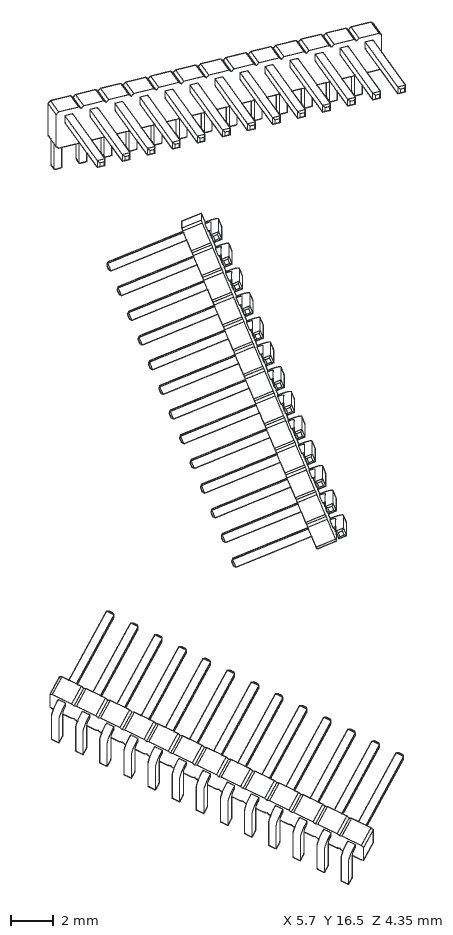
import cadquery as cq


row_length = 16.51
pin_count = 13
pitch = row_length / pin_count
housing_depth = 0.99
housing_height = 2.1
housing_chamfer = 0.125

pin_width = 0.4
overall_depth = 5.7
overall_height = 4.35
bend_offset = 0.7
pin_cover = 0.3
bend_inner_radius = 0.2
bend_outer_radius = bend_inner_radius + pin_width
tip_chamfer = 0.09

leg_outer_x = -bend_offset
leg_inner_x = leg_outer_x + pin_width
pin_end_x = leg_outer_x + overall_depth
pin_top_z = housing_height - pin_cover
pin_under_z = pin_top_z - pin_width
pin_end_z = housing_height - overall_height


def housing_segment(center_y):
    """One pitch of the housing, with its four edges along X chamfered."""
    block = cq.Workplane("XY").box(housing_depth, pitch, housing_height, centered=(False, True, False))
    return block.edges("|X").chamfer(housing_chamfer).translate((0, center_y, 0))


def bent_pin(center_y):
    """A square pin with a right-angle bend and both ends chamfered all round."""
    pin = (
        cq.Workplane("XZ", origin=(0, center_y, 0))
        .moveTo(leg_outer_x, pin_end_z)
        .lineTo(leg_outer_x, pin_top_z - bend_outer_radius)
        .radiusArc((leg_outer_x + bend_outer_radius, pin_top_z), bend_outer_radius)
        .lineTo(pin_end_x, pin_top_z)
        .lineTo(pin_end_x, pin_under_z)
        .lineTo(leg_inner_x + bend_inner_radius, pin_under_z)
        .radiusArc((leg_inner_x, pin_under_z - bend_inner_radius), -bend_inner_radius)
        .lineTo(leg_inner_x, pin_end_z)
        .close()
        .extrude(pin_width / 2, both=True)
    )
    pin = pin.faces(">X").edges().chamfer(tip_chamfer)
    return pin.faces("<Z").edges().chamfer(tip_chamfer)


pin_positions = [(i - (pin_count - 1) / 2) * pitch for i in range(pin_count)]

header = cq.Workplane("XY")
for y in pin_positions:
    header = header.union(housing_segment(y))
for y in pin_positions:
    header = header.union(bent_pin(y))

result = header.clean()